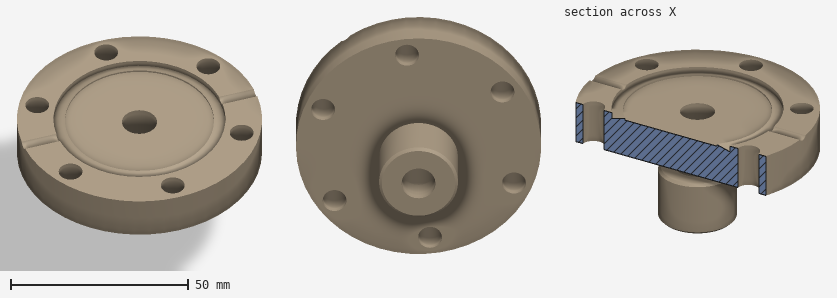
import cadquery as cq

total_height = 34.6

flange_diameter = 69.1
flange_thickness = 12.65
flange_top = total_height
flange_bottom = flange_top - flange_thickness

recess_diameter = 48.5
recess_depth = 1.8
knife_diameter = 42.0
knife_depth = 0.655
floor_depth = 1.2

bolt_count = 6
bolt_hole_diameter = 6.7
bolt_circle_radius = 29.35

groove_width = 3.2
groove_depth = 0.8
groove_radius = ((groove_width / 2) ** 2 + groove_depth ** 2) / (2 * groove_depth)

tube_outer_diameter = 12.7
tube_bore_diameter = 9.9

nut_diameter = 22.25
nut_height = 15.95
nut_chamfer = 0.75
nut_bore_diameter = 9.5
nut_socket_depth = nut_height / 2
tube_bottom = nut_height - nut_socket_depth
tube_top = flange_top - floor_depth


def cylinder(diameter, bottom, top):
    """Upright cylinder on the Z axis between two heights."""
    return cq.Workplane("XY").workplane(offset=bottom).circle(diameter / 2).extrude(top - bottom)


def make_flange_blank():
    """Turned disc with its sealing recess and knife edge, tube hole included."""
    return (
        cq.Workplane("XZ")
        .moveTo(tube_outer_diameter / 2, flange_bottom)
        .lineTo(flange_diameter / 2, flange_bottom)
        .lineTo(flange_diameter / 2, flange_top)
        .lineTo(recess_diameter / 2, flange_top)
        .lineTo(recess_diameter / 2, flange_top - recess_depth)
        .lineTo(knife_diameter / 2, flange_top - knife_depth)
        .lineTo(knife_diameter / 2, flange_top - floor_depth)
        .lineTo(tube_outer_diameter / 2, flange_top - floor_depth)
        .close()
        .revolve(360, (0, 0, 0), (0, 1, 0))
    )


def make_groove_cutters():
    """Round-bottomed groove along Y, kept outside the sealing recess."""
    axis_height = flange_top - groove_depth + groove_radius
    rod = (
        cq.Workplane("XZ")
        .center(0, axis_height)
        .circle(groove_radius)
        .extrude(flange_diameter / 2, both=True)
    )
    recess_space = cylinder(recess_diameter, flange_bottom, axis_height + groove_radius)
    return rod.cut(recess_space)


def make_flange():
    """Flange with its bolt holes and groove."""
    bolt_holes = (
        cq.Workplane("XY")
        .workplane(offset=flange_bottom)
        .polarArray(bolt_circle_radius, 0, 360, bolt_count)
        .circle(bolt_hole_diameter / 2)
        .extrude(flange_thickness)
    )
    return make_flange_blank().cut(bolt_holes).cut(make_groove_cutters())


def make_tube():
    """Tube from the recess floor down to the bottom of the nut's socket."""
    outside = cylinder(tube_outer_diameter, tube_bottom, tube_top)
    return outside.cut(cylinder(tube_bore_diameter, tube_bottom, tube_top))


def make_nut():
    """Round nut, chamfered at both ends, with a tube socket above a narrower bore."""
    blank = cylinder(nut_diameter, 0, nut_height).faces("|Z").edges().chamfer(nut_chamfer)
    socket = cylinder(tube_outer_diameter, tube_bottom, nut_height)
    return blank.cut(socket).cut(cylinder(nut_bore_diameter, 0, nut_height))


flange = make_flange()
tube = make_tube()
nut = make_nut()

result = cq.Compound.makeCompound([flange.val(), tube.val(), nut.val()])